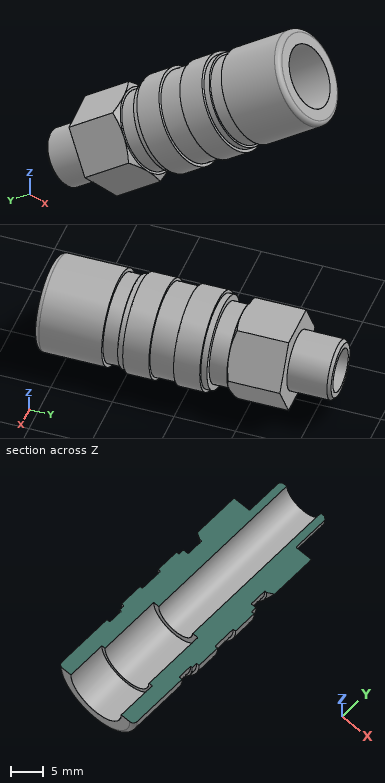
import cadquery as cq
import math


socket_end = 11.0
neck_end = 13.5
sleeve_end = 28.0
collar_end = 31.0
hex_end = 40.0
total_length = 47.0

socket_dia = 15.7
neck_dia = 14.5
sleeve_dia = 15.2
band_dia = 16.2
collar_dia = 13.2
stub_dia = 9.728

band_width = 4.25
band_inset = 1.0

hex_across_flats = 14.0
hex_across_corners = hex_across_flats / math.cos(math.radians(30))
hex_chamfer_angle = 30.0
envelope_margin = 0.5

mouth_fillet = 0.8
stub_chamfer = 0.5

mouth_bore_dia = 10.4
mouth_bore_depth = 7.0
middle_bore_dia = 9.1
middle_bore_depth = 18.0
through_bore_dia = 7.0


def cylinder(diameter, start, end):
    """Cylinder on the Y axis between two stations."""
    base = cq.Workplane("XZ", origin=(0, start, 0))
    return base.circle(diameter / 2).extrude(start - end)


def make_socket():
    return cylinder(socket_dia, 0, socket_end).faces("<Y").edges().fillet(mouth_fillet)


def make_sleeve():
    sleeve = cylinder(sleeve_dia, neck_end, sleeve_end)
    front_band_start = neck_end + band_inset
    rear_band_start = sleeve_end - band_inset - band_width
    for start in (front_band_start, rear_band_start):
        sleeve = sleeve.union(cylinder(band_dia, start, start + band_width))
    return sleeve


def make_hexagon():
    base = cq.Workplane("XZ", origin=(0, collar_end, 0))
    prism = base.polygon(6, hex_across_corners).extrude(collar_end - hex_end)

    small_radius = hex_across_flats / 2
    large_radius = hex_across_corners / 2 + envelope_margin
    cone_length = (large_radius - small_radius) * math.tan(math.radians(hex_chamfer_angle))
    envelope = (
        cq.Workplane("XY")
        .moveTo(0, collar_end)
        .lineTo(small_radius, collar_end)
        .lineTo(large_radius, collar_end + cone_length)
        .lineTo(large_radius, hex_end)
        .lineTo(0, hex_end)
        .close()
        .revolve(360, (0, 0, 0), (0, 1, 0))
    )
    return prism.intersect(envelope)


def make_stub():
    return cylinder(stub_dia, hex_end, total_length).faces(">Y").edges().chamfer(stub_chamfer)


def make_bore():
    bore = cylinder(through_bore_dia, 0, total_length)
    bore = bore.union(cylinder(middle_bore_dia, 0, middle_bore_depth))
    return bore.union(cylinder(mouth_bore_dia, 0, mouth_bore_depth))


body = (
    make_socket()
    .union(cylinder(neck_dia, socket_end, neck_end))
    .union(make_sleeve())
    .union(cylinder(collar_dia, sleeve_end, collar_end))
    .union(make_hexagon())
    .union(make_stub())
)

result = body.cut(make_bore())